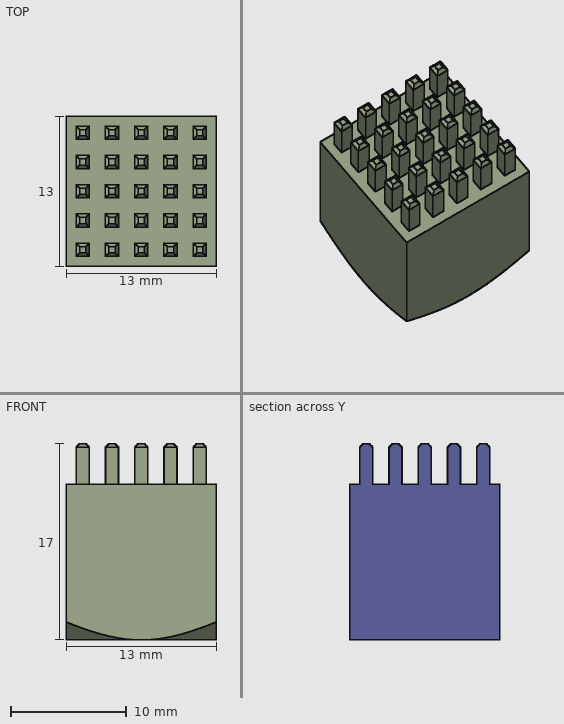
import cadquery as cq
import math

body_side = 13.0
total_height = 17.0

pins_per_side = 5
pin_pitch = 2.53
pin_width = 1.14
pin_height = 3.5
tip_chamfer = 0.3

trim_angle = math.radians(30)
trim_margin = 0.17

body_height = total_height - pin_height
inner_radius = body_side / 2
corner_radius = inner_radius * math.sqrt(2)


def make_body():
    """Square block standing on Z = 0."""
    return cq.Workplane("XY").box(body_side, body_side, body_height, centered=(True, True, False))


def make_corner_trim():
    """Turned ring that bevels the bottom corners and fades out at the middle of each side."""
    outer_radius = corner_radius + trim_margin
    outer_rise = (outer_radius - inner_radius) * math.tan(trim_angle)
    return (
        cq.Workplane("XZ")
        .moveTo(inner_radius, 0)
        .lineTo(outer_radius, 0)
        .lineTo(outer_radius, outer_rise)
        .close()
        .revolve(360, (0, 0, 0), (0, 1, 0))
    )


def make_pins():
    """Grid of square pins with bevelled tips, standing on the body."""
    return (
        cq.Workplane("XY", origin=(0, 0, body_height))
        .rarray(pin_pitch, pin_pitch, pins_per_side, pins_per_side)
        .rect(pin_width, pin_width)
        .extrude(pin_height)
        .faces(">Z")
        .chamfer(tip_chamfer)
    )


result = make_body().cut(make_corner_trim()).union(make_pins())